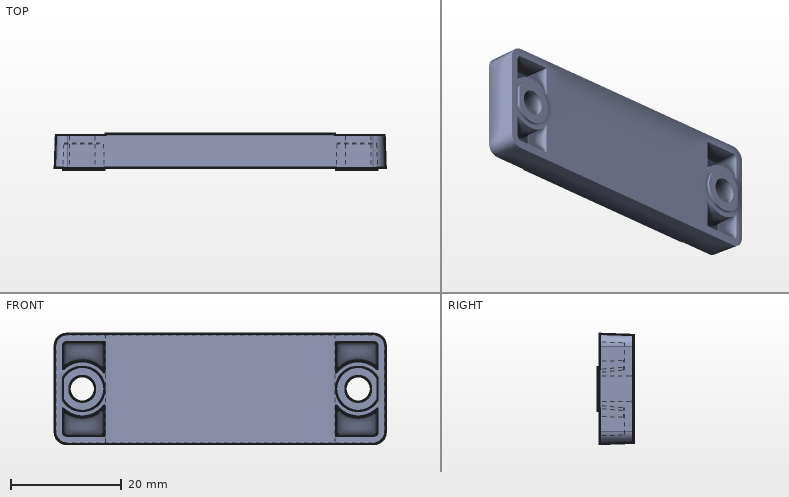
import cadquery as cq
import math

LENGTH = 60.0
HEIGHT = 20.0
BODY_DEPTH = 6.0
DRAFT = 2.0
CORNER_RADIUS = 2.3

PAD_LENGTH = 41.5
PAD_THICKNESS = 0.2

HOLE_SPACING = 50.0
HOLE_DIAMETER = 4.6
BOSS_RADIUS = 4.0
BOSS_RISE = 0.4
BOSS_WALL_RADIUS = 5.0

RIM = 1.5
POCKET_LENGTH = 7.5
POCKET_DEPTH = 4.5
POCKET_CORNER_RADIUS = 0.8
POCKET_FLOOR_RADIUS = 0.2

pocket_outer_x = LENGTH / 2 - RIM
pocket_height = HEIGHT - 2 * RIM
pocket_center_x = pocket_outer_x - POCKET_LENGTH / 2
draft_slope = math.tan(math.radians(DRAFT))
back_height = HEIGHT - 2 * BODY_DEPTH * draft_slope


def front_plane(y=0.0):
    """Workplane at the given Y whose normal points along +Y; its local Y axis is Z, its local X is -X."""
    return cq.Workplane(cq.Plane(origin=(0, y, 0), xDir=(-1, 0, 0), normal=(0, 1, 0)))


def make_body():
    outline = front_plane().sketch().rect(LENGTH, HEIGHT).vertices().fillet(CORNER_RADIUS).finalize()
    return outline.extrude(BODY_DEPTH, taper=DRAFT)


def make_pad():
    return front_plane(BODY_DEPTH).rect(PAD_LENGTH, back_height).extrude(PAD_THICKNESS)


def make_pocket():
    """Drafted pocket above the +X boss: a recess left solid around the widening boss, with a rounded floor."""
    recess = (
        front_plane()
        .center(-pocket_center_x, 0)
        .sketch()
        .rect(POCKET_LENGTH, pocket_height)
        .vertices("<X")
        .fillet(POCKET_CORNER_RADIUS)
        .finalize()
        .extrude(POCKET_DEPTH, taper=DRAFT)
    )
    boss = cq.Solid.makeCone(
        BOSS_WALL_RADIUS,
        BOSS_WALL_RADIUS + POCKET_DEPTH * draft_slope,
        POCKET_DEPTH,
        pnt=cq.Vector(HOLE_SPACING / 2, 0, 0),
        dir=cq.Vector(0, 1, 0),
    )
    upper_pocket = recess.cut(boss).solids(">Z")
    return cq.Workplane(upper_pocket.val()).faces(">Y").edges().fillet(POCKET_FLOOR_RADIUS)


def make_boss_pad(side):
    """Low round contact pad, cut flat in line with the pocket's outer wall."""
    disc = front_plane(-BOSS_RISE).center(-side * HOLE_SPACING / 2, 0).circle(BOSS_RADIUS).extrude(BOSS_RISE)
    limit = front_plane(-BOSS_RISE).rect(2 * pocket_outer_x, HEIGHT).extrude(BOSS_RISE)
    return disc.intersect(limit)


def make_holes():
    through_length = BOSS_RISE + BODY_DEPTH + PAD_THICKNESS
    return (
        front_plane(-BOSS_RISE)
        .pushPoints([(-HOLE_SPACING / 2, 0), (HOLE_SPACING / 2, 0)])
        .circle(HOLE_DIAMETER / 2)
        .extrude(through_length)
    )


result = make_body().union(make_pad())

upper_right_pocket = make_pocket()
lower_right_pocket = upper_right_pocket.mirror("XY")
for pocket in (upper_right_pocket, lower_right_pocket):
    result = result.cut(pocket).cut(pocket.mirror("YZ"))

for end in (-1, 1):
    result = result.union(make_boss_pad(end))

result = result.cut(make_holes())